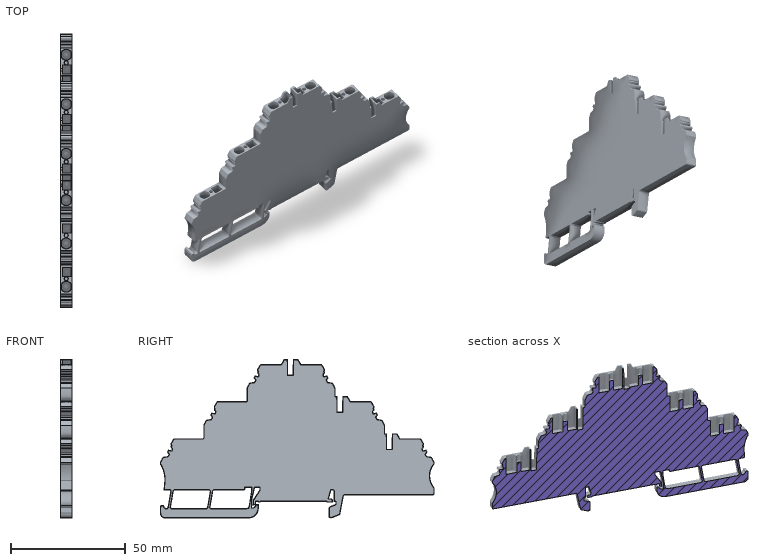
import math

import cadquery as cq


WIDTH = 5.1
LENGTH = 119.21
HEIGHT = 68.98

STOREYS = 3
STOREY_RISE = 16.17
LEFT_STEP = 21.57
RIGHT_STEP = 18.87
EAR_HEIGHT = 2.15
TOP_FLOOR_Z = HEIGHT - EAR_HEIGHT

SHOULDER = [
    (0.0, 0.0),
    (0.35, 0.35),
    (1.4, 2.15),
    (1.4, 2.8),
    (1.1, 2.95),
    (1.4, 3.6),
    (0.8, 4.3),
    (1.05, 5.3),
    (2.5, 5.0),
    (2.9, 5.8),
    (2.2, 6.8),
    (2.8, 7.8),
    (3.9, 7.95),
    (4.9, 8.15),
    (6.0, 10.3),
]
SHOULDER_RUN = SHOULDER[-1][0]
WALL_FOOT_CHAMFER = 0.3

EAR_FOOT = 8.95
EAR_TOP = 10.15
SLOT_CENTRE = 13.45
SLOT_TOP_WIDTH = 2.55
SLOT_FLOOR_WIDTH = 2.35
SLOT_DEPTH = 6.75

SCREW_CENTRE = 3.05
SCREW_DIAMETER = 4.7
SCREW_FLAT_WIDTH = 4.0
PROBE_CENTRE = 6.55
PROBE_DIAMETER = 1.75
WIRE_NEAR = 7.55
WIRE_FAR = 11.5
WIRE_X_MIN = -1.6
WIRE_X_MAX = SCREW_FLAT_WIDTH / 2
OPENING_DEPTH = 8.0
PROBE_DEPTH = 3.0
BRIDGE_POCKET_DEPTH = 4.0

PLATE_Z = 10.07
SEAT_Z = 7.2
SEAT_LIP_Z = 6.85
WING_Z = 12.25
RELIEF_Z = 13.3
CARRIER_TOP_Z = 4.0

END_CORNER_CHAMFER = 0.4
END_HOLLOW_DEPTH = 1.9
END_HOLLOW_BOTTOM = 13.1
END_LAND = 0.7

BACK_HOLLOW_MIDDLE = (117.9, 20.6)
BACK_HOLLOW_BOTTOM = (117.3, 16.2)
BACK_END_FOOT_U = 117.65

HOOK_ROOT_U = 38.9
HOOK_OUTER_U = 39.6
HOOK_OUTER_Z = 9.3
HOOK_ROOT_MIDDLE = (39.4, 9.8)
SLIT_U = 43.55
SLIT_CHAMFER = 0.35
HOOK_NOSE = [
    (41.05, 1.7),
    (41.3, 1.4),
    (44.8, 0),
    (45.7, 0.35),
    (45.7, 4.4),
    (45.3, 4.85),
    (42.8, 5.8),
    (42.8, SEAT_Z),
]

CUP_U = 76.6
CUP_FLOOR_Z = 4.4
CUP_SLOPE_U = 78.7
CUP_SLOPE_Z = 5.1
TOOTH_U = 77.7
CUP_LIP_Z = 5.75
CUP_RADIUS = 4.2
CARRIER_END_RADIUS = 2.05
CARRIER_TIP_Z = 5.4
CARRIER_TIP_BEVEL_RUN = 0.25
CARRIER_TIP_BEVEL_DROP = 0.7
CARRIER_TIP_BACK = [(118.0, CARRIER_TIP_Z), (117.6, 4.5), (117.0, CARRIER_TOP_Z)]
BEAM_OUTER_FACE = [(81.9, CARRIER_TOP_Z), (80.8, 4.3), (80.5, 5.3), (79.5, 11.8), (79.5, RELIEF_Z)]
BEAM_INNER_FACE = [(78.2, RELIEF_Z), (79.5, 7.9), (79.5, CUP_FLOOR_Z)]

LATCH_SIDE = [
    (82.9, WING_Z),
    (82.4, 12.5),
    (82.4, RELIEF_Z),
    (75.9, RELIEF_Z),
    (75.9, 12.1),
    (78.4, 8.2),
    (78.8, 7.9),
    (78.8, 6.0),
    (79.1, 5.6),
    (78.5, 5.6),
    (TOOTH_U, 6.25),
    (TOOTH_U, SEAT_Z),
    (76.6, SEAT_Z),
    (76.4, SEAT_LIP_Z),
    (75.9, SEAT_LIP_Z),
    (75.6, SEAT_Z),
]

HOOK_SIDE = [
    (46.7, SEAT_Z),
    (46.5, SEAT_LIP_Z),
    (44.25, SEAT_LIP_Z),
    (44.25, 7.9),
    (44.8, 8.25),
    (46.05, 8.3),
    (44.95, WING_Z),
    (SLIT_U + SLIT_CHAMFER, WING_Z),
    (SLIT_U, WING_Z - SLIT_CHAMFER),
    (SLIT_U, PLATE_Z),
]

RIB_FOOT_U = 97.7
RIB_PITCH = 17.2
RIB_COUNT = 2
RIB_THICKNESS = 1.0
RIB_LEAN = 1.25
RIB_FLARE = 0.5

EXTRUDE_PLANE = cq.Plane(
    origin=(WIDTH / 2, LENGTH / 2, 0), xDir=(0, -1, 0), normal=(-1, 0, 0)
)


def storey_z(drop):
    """Height of the storey that lies `drop` storeys below the top one."""
    return TOP_FLOOR_Z - drop * STOREY_RISE


def left_corner(drop):
    """Position of the +Y side corner of a storey."""
    return SHOULDER_RUN + (STOREYS - 1 - drop) * LEFT_STEP


def right_corner(drop):
    """Position of the -Y side corner of a storey."""
    return LENGTH - SHOULDER_RUN - (STOREYS - 1 - drop) * RIGHT_STEP


def shoulder(corner_u, top_z, outwards):
    """Shoulder points from the storey corner down to its foot."""
    return [(corner_u + outwards * run, top_z - fall) for run, fall in SHOULDER]


def ear_and_slot(corner_u, top_z):
    """Ear beside the wire opening, followed by the bridge slot."""
    ear_z = top_z + EAR_HEIGHT
    slot_floor_z = ear_z - SLOT_DEPTH
    slot_u = corner_u + SLOT_CENTRE
    return [
        (corner_u + EAR_FOOT, top_z),
        (corner_u + EAR_TOP, ear_z),
        (slot_u - SLOT_TOP_WIDTH / 2, ear_z),
        (slot_u - SLOT_FLOOR_WIDTH / 2, slot_floor_z),
        (slot_u + SLOT_FLOOR_WIDTH / 2, slot_floor_z),
        (slot_u + SLOT_TOP_WIDTH / 2, ear_z),
    ]


def stepped_top():
    """Points along the stepped top, from the +Y end to the -Y end."""
    points = []
    for drop in reversed(range(STOREYS)):
        corner_u = left_corner(drop)
        top_z = storey_z(drop)
        points += reversed(shoulder(corner_u, top_z, -1))
        points += ear_and_slot(corner_u, top_z)
        if drop > 0:
            next_wall_u = left_corner(drop - 1) - SHOULDER_RUN
            points.append((next_wall_u, top_z + EAR_HEIGHT))
    for drop in range(STOREYS):
        corner_u = right_corner(drop)
        top_z = storey_z(drop)
        if drop == 0:
            points.append((corner_u - EAR_TOP, top_z + EAR_HEIGHT))
            points.append((corner_u - EAR_FOOT, top_z))
        else:
            wall_u = right_corner(drop - 1) + SHOULDER_RUN
            points.append((wall_u, top_z + WALL_FOOT_CHAMFER))
            points.append((wall_u + WALL_FOOT_CHAMFER, top_z))
        points += shoulder(corner_u, top_z, 1)
    return points


def add_lines(outline, points):
    """Continue an outline with straight edges through the points."""
    for point in points:
        outline = outline.lineTo(*point)
    return outline


def plate():
    """Main plate with the stepped top, the hollow ends and the sprung latch tooth."""
    top = stepped_top()
    hollow_top_z = top[0][1] - END_LAND
    hollow_middle_z = (hollow_top_z + END_HOLLOW_BOTTOM) / 2
    outline = (
        cq.Workplane(EXTRUDE_PLANE)
        .moveTo(END_CORNER_CHAMFER, PLATE_Z)
        .lineTo(0, PLATE_Z + END_CORNER_CHAMFER)
        .lineTo(0, END_HOLLOW_BOTTOM)
        .threePointArc((END_HOLLOW_DEPTH, hollow_middle_z), (0, hollow_top_z))
    )
    outline = add_lines(outline, top)
    outline = outline.lineTo(LENGTH, hollow_top_z)
    outline = outline.threePointArc(BACK_HOLLOW_MIDDLE, BACK_HOLLOW_BOTTOM)
    outline = outline.lineTo(BACK_END_FOOT_U, WING_Z)
    outline = add_lines(outline, LATCH_SIDE + HOOK_SIDE)
    return outline.close().extrude(WIDTH)


def fixed_hook():
    """Rail hook hanging from the +Y wing."""
    slit_top_z = WING_Z - SLIT_CHAMFER
    outline = (
        cq.Workplane(EXTRUDE_PLANE)
        .moveTo(HOOK_ROOT_U, PLATE_Z)
        .threePointArc(HOOK_ROOT_MIDDLE, (HOOK_OUTER_U, HOOK_OUTER_Z))
    )
    outline = add_lines(outline, HOOK_NOSE)
    outline = outline.lineTo(SLIT_U, SEAT_Z).lineTo(SLIT_U, slit_top_z).lineTo(HOOK_ROOT_U, slit_top_z)
    return outline.close().extrude(WIDTH)


def carrier():
    """Carrier bar with its latch cup, the spring beam and the raised -Y tip."""
    cup_sagitta = CUP_RADIUS * (1 - math.sqrt(0.5))
    end_sagitta = CARRIER_END_RADIUS * (1 - math.sqrt(0.5))
    outline = (
        cq.Workplane(EXTRUDE_PLANE)
        .moveTo(CUP_U, CUP_LIP_Z)
        .lineTo(CUP_U, CUP_RADIUS)
        .threePointArc((CUP_U + cup_sagitta, cup_sagitta), (CUP_U + CUP_RADIUS, 0))
        .lineTo(LENGTH - CARRIER_END_RADIUS, 0)
        .threePointArc((LENGTH - end_sagitta, end_sagitta), (LENGTH, CARRIER_END_RADIUS))
        .lineTo(LENGTH, CARRIER_TIP_Z - CARRIER_TIP_BEVEL_DROP)
        .lineTo(LENGTH - CARRIER_TIP_BEVEL_RUN, CARRIER_TIP_Z)
    )
    outline = add_lines(outline, CARRIER_TIP_BACK + BEAM_OUTER_FACE + BEAM_INNER_FACE)
    outline = (
        outline.lineTo(CUP_SLOPE_U, CUP_FLOOR_Z)
        .lineTo(TOOTH_U, CUP_SLOPE_Z)
        .lineTo(TOOTH_U, CUP_LIP_Z)
    )
    return outline.close().extrude(WIDTH)


def rib(foot_u):
    """Leaning rib, flared where it meets the bar below and the wing above."""
    head_u = foot_u - RIB_LEAN
    return (
        cq.Workplane(EXTRUDE_PLANE)
        .polyline([
            (foot_u - RIB_FLARE, CARRIER_TOP_Z),
            (foot_u, CARRIER_TOP_Z + RIB_FLARE),
            (head_u, WING_Z - RIB_FLARE),
            (head_u - RIB_FLARE, WING_Z),
            (head_u + RIB_THICKNESS + RIB_FLARE, WING_Z),
            (head_u + RIB_THICKNESS, WING_Z - RIB_FLARE),
            (foot_u + RIB_THICKNESS, CARRIER_TOP_Z + RIB_FLARE),
            (foot_u + RIB_THICKNESS + RIB_FLARE, CARRIER_TOP_Z),
        ])
        .close()
        .extrude(WIDTH)
    )


def block(x_min, x_max, u_min, u_max, z_min, z_max):
    """Box given by its limits in x, u and z."""
    return cq.Workplane("XY").box(
        x_max - x_min, u_max - u_min, z_max - z_min, centered=False
    ).translate((x_min, LENGTH / 2 - u_max, z_min))


def shaft(u, diameter, z_min, z_max):
    """Upright cylinder in the middle of the width."""
    return (
        cq.Workplane("XY", origin=(0, LENGTH / 2 - u, z_min))
        .circle(diameter / 2)
        .extrude(z_max - z_min)
    )


def storey_openings(corner_u, inwards, top_z):
    """Screwdriver shaft, probe hole and wire opening of one storey."""
    floor_z = top_z - OPENING_DEPTH
    screw_u = corner_u + inwards * SCREW_CENTRE
    flat = SCREW_FLAT_WIDTH / 2
    flat_sides = block(
        -flat, flat, screw_u - SCREW_DIAMETER, screw_u + SCREW_DIAMETER, floor_z, top_z
    )
    screw = shaft(screw_u, SCREW_DIAMETER, floor_z, top_z).intersect(flat_sides)
    probe = shaft(corner_u + inwards * PROBE_CENTRE, PROBE_DIAMETER, top_z - PROBE_DEPTH, top_z)
    wire_ends = sorted([corner_u + inwards * WIRE_NEAR, corner_u + inwards * WIRE_FAR])
    wire = block(WIRE_X_MIN, WIRE_X_MAX, *wire_ends, floor_z, top_z + EAR_HEIGHT)
    return [screw, probe, wire]


def bridge_pocket(corner_u, top_z):
    """Pocket sunk into the floor of a bridge slot."""
    slot_u = corner_u + SLOT_CENTRE
    half = SLOT_FLOOR_WIDTH / 2
    floor_z = top_z + EAR_HEIGHT - SLOT_DEPTH
    return block(
        WIRE_X_MIN, WIRE_X_MAX, slot_u - half, slot_u + half, floor_z - BRIDGE_POCKET_DEPTH, floor_z
    )


result = plate().union(fixed_hook()).union(carrier())
for index in range(RIB_COUNT):
    result = result.union(rib(RIB_FOOT_U + index * RIB_PITCH))

for level in range(STOREYS):
    level_z = storey_z(level)
    cutters = storey_openings(left_corner(level), 1, level_z)
    cutters += storey_openings(right_corner(level), -1, level_z)
    cutters.append(bridge_pocket(left_corner(level), level_z))
    for cutter in cutters:
        result = result.cut(cutter)